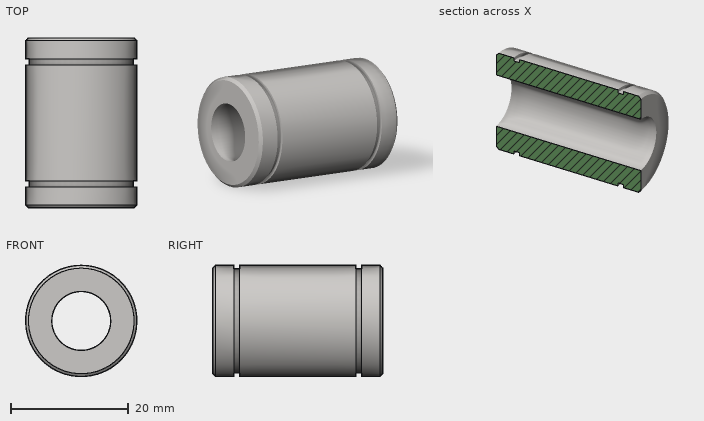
import cadquery as cq

outer_diameter = 19.0
bore_diameter = 10.0
length = 29.0
end_chamfer = 0.5

groove_diameter = 17.8
groove_width = 1.0
groove_outer_span = 21.8


def ring(inner_diameter, rim_diameter, width, centre_y=0.0):
    """Ring around the Y axis, revolved from a rectangle on its +Z side."""
    wall = (rim_diameter - inner_diameter) / 2
    mid_radius = (rim_diameter + inner_diameter) / 4
    section = cq.Workplane("YZ").center(centre_y, mid_radius).rect(width, wall)
    return section.revolve(360, (0, -mid_radius, 0), (1, -mid_radius, 0))


def sleeve():
    """Bored cylinder with both outer end rims chamfered."""
    blank = ring(bore_diameter, outer_diameter, length)
    outer_rims = blank.edges(cq.selectors.RadiusNthSelector(-1))
    return outer_rims.chamfer(end_chamfer)


def groove(centre_y):
    """Ring of material removed to form one groove."""
    return ring(groove_diameter, outer_diameter, groove_width, centre_y)


result = sleeve()
groove_centre = (groove_outer_span - groove_width) / 2
for side in (-1, 1):
    result = result.cut(groove(side * groove_centre))